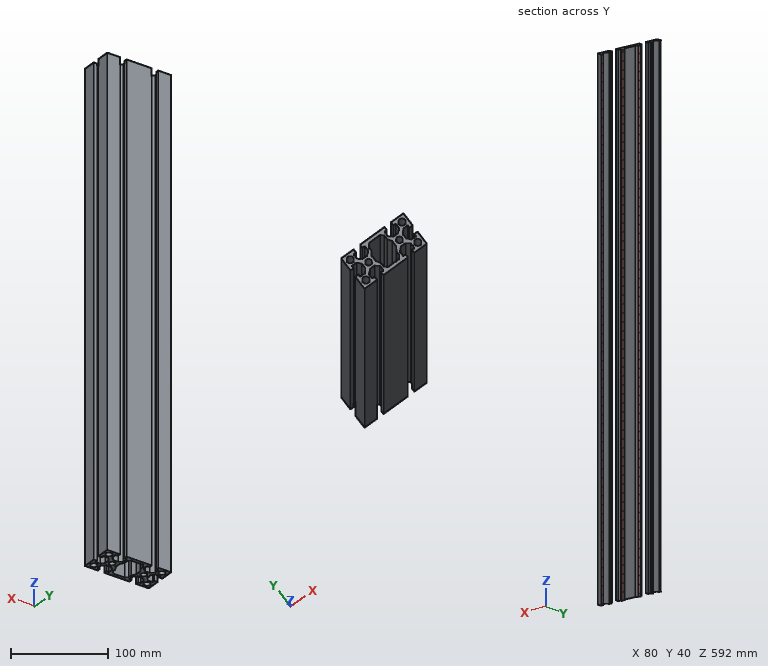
import cadquery as cq

length = 592.0
width = 80.0
depth = 40.0
half_width = width / 2
half_depth = depth / 2
module_x = half_width - half_depth

slot_half_opening = 4.0
slot_half_inner = 7.0
lip_thickness = 4.0
slot_floor = 6.5
floor_half_width = 3.0
wall_end = 10.0

core_bore_radius = 3.5
corner_bore_radius = 3.85
corner_bore_wall = 2.85
corner_bore_inset = corner_bore_wall + corner_bore_radius

cavity_half_depth = 16.0
cavity_half_width = 10.0
cavity_bulge_half_width = 13.0
cavity_bulge_half_height = 3.5
cavity_shoulder = 8.0
cavity_corner = 3.0


def t_slot(center_x, angle):
    """T-slot opening toward +Y, turned about its module centre."""
    lip_inner = half_depth - lip_thickness
    right_side = [
        (slot_half_opening, half_depth),
        (slot_half_opening, lip_inner),
        (slot_half_inner, lip_inner),
        (slot_half_inner, wall_end),
        (floor_half_width, slot_floor),
    ]
    left_side = [(-x, y) for x, y in reversed(right_side)]
    slot = cq.Workplane("XY").polyline(right_side + left_side).close().extrude(length)
    return slot.rotate((0, 0, 0), (0, 0, 1), angle).translate((center_x, 0, 0))


def central_cavity():
    """Hollow between the modules, bulged toward both cores."""
    quarter = [
        (cavity_bulge_half_width, cavity_bulge_half_height),
        (cavity_half_width, cavity_shoulder),
        (cavity_half_width, cavity_half_depth - cavity_corner),
        (cavity_half_width - cavity_corner, cavity_half_depth),
    ]
    upper = quarter + [(-x, y) for x, y in reversed(quarter)]
    lower = [(-x, -y) for x, y in upper]
    return cq.Workplane("XY").polyline(upper + lower).close().extrude(length)


def bores(points, radius):
    """Round bores running the full length."""
    return cq.Workplane("XY").pushPoints(points).circle(radius).extrude(length)


result = cq.Workplane("XY").box(width, depth, length, centered=(True, True, False))

for side in (-1, 1):
    for angle in (0, 180, -90 * side):
        result = result.cut(t_slot(side * module_x, angle))

result = result.cut(central_cavity())
result = result.cut(bores([(-module_x, 0), (module_x, 0)], core_bore_radius))

corner_x = half_width - corner_bore_inset
corner_y = half_depth - corner_bore_inset
corner_points = [(sx * corner_x, sy * corner_y) for sx in (-1, 1) for sy in (-1, 1)]
result = result.cut(bores(corner_points, corner_bore_radius))